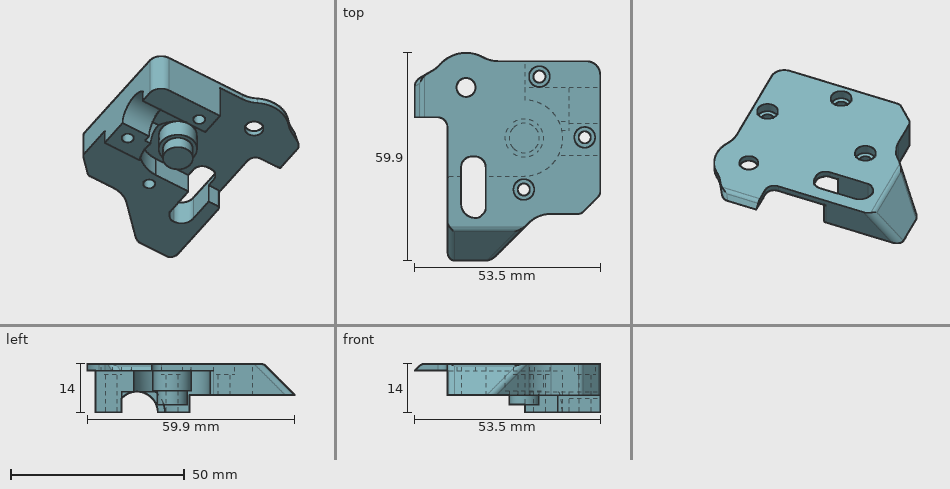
import cadquery as cq
import math

length_x = 53.45
length_y = 59.85
height = 14.0
plate_thickness = 2.0
plate_bottom = height - plate_thickness
body_bottom = 5.0

edge_radius = 2.0
blend_radius = 9.0
overcut = 6.0

lobe_radius = 10.0
lobe_x, lobe_y = 14.8, length_y - lobe_radius
lobe_hole_diameter = 5.4

left_side = 9.4
arm_bottom = 41.2
arm_corner_radius = 2.8
arm_wall_offset = 9.05
arm_wall_angle = 30.0
back_side = 57.45
back_corner_radius = 4.0
front_side = 13.4
front_chamfer = 5.55
toe_right = 22.0

slot_left, slot_right = 13.4, 20.4
slot_front, slot_back = 12.3, 29.9
slot_back_radius = 3.0
slot_front_radius = 4.0
slot_chamfer = 1.85

screw_positions = [(35.9, 52.95), (48.95, 35.5), (31.4, 20.45)]
screw_diameter = 3.4
screw_head_diameter = 6.0
screw_head_depth = 3.0

boss_x, boss_y = 31.5, 35.35
boss_diameter = 11.0
boss_bottom = 6.3
pin_diameter = 8.6
pin_bottom = 2.3
recess_radius = 11.0
recess_right = 31.7
recess_front = boss_y - recess_radius
recess_corner_radius = 0.9

foot_front = 30.3
channel_y = 45.5
channel_radius = 6.0
pocket_radius = 8.0
channel_back = 49.85
pocket_right = 44.3


def box(x_range, y_range, z_range):
    """Box spanning the given ranges."""
    size = [end - start for start, end in (x_range, y_range, z_range)]
    corner = (x_range[0], y_range[0], z_range[0])
    return cq.Workplane("XY").box(*size, centered=False).translate(corner)


def cylinder(x, y, diameter, bottom, top):
    """Upright cylinder between two heights."""
    return cq.Workplane("XY", origin=(x, y, bottom)).circle(diameter / 2).extrude(top - bottom)


def channel_cylinder(radius, x_end):
    """Cylinder along X, centred on the channel axis at the underside."""
    return (
        cq.Workplane("YZ", origin=(recess_right - overcut, channel_y, 0))
        .circle(radius)
        .extrude(x_end - recess_right + overcut)
    )


def lobe_blend(wall_offset, normal_angle, side):
    """Start on the lobe, middle and end on the wall of the concave arc joining lobe and wall.

    The wall lies at wall_offset from the lobe centre, with its normal at normal_angle.
    The side is +1 or -1 for an arc counter-clockwise or clockwise of that normal.
    """
    centre_distance = lobe_radius + blend_radius
    normal = math.radians(normal_angle)
    swing = side * math.acos((wall_offset + blend_radius) / centre_distance)
    centre_x = lobe_x + centre_distance * math.cos(normal + swing)
    centre_y = lobe_y + centre_distance * math.sin(normal + swing)
    return [
        (centre_x - blend_radius * math.cos(angle), centre_y - blend_radius * math.sin(angle))
        for angle in (normal + swing, normal + swing / 2, normal)
    ]


def corner_edge(solid, x, y):
    """Upright edges of the solid that stand at one plan position."""
    reach = 0.05
    selector = cq.selectors.BoxSelector(
        (x - reach, y - reach, -overcut), (x + reach, y + reach, height + overcut)
    )
    return solid.edges("|Z").edges(selector)


def outline_block():
    """Full-height block with the plan outline and its rounded upright edges."""
    arm_start, arm_middle, arm_end = lobe_blend(arm_wall_offset, 90 + arm_wall_angle, 1)
    back_start, back_middle, back_end = lobe_blend(back_side - lobe_y, 90, -1)
    arm_tip_y = arm_end[1] - arm_end[0] * math.tan(math.radians(arm_wall_angle))
    toe_wall_end = (toe_right + front_side, front_side)
    chamfer_start = (length_x - front_chamfer, front_side)
    chamfer_end = (length_x, front_side + front_chamfer)
    block = (
        cq.Workplane("XY")
        .moveTo(left_side, 0)
        .lineTo(toe_right, 0)
        .lineTo(*toe_wall_end)
        .lineTo(*chamfer_start)
        .lineTo(*chamfer_end)
        .lineTo(length_x, back_side)
        .lineTo(*back_end)
        .threePointArc(back_middle, back_start)
        .threePointArc((lobe_x, lobe_y + lobe_radius), arm_start)
        .threePointArc(arm_middle, arm_end)
        .lineTo(0, arm_tip_y)
        .lineTo(0, arm_bottom)
        .lineTo(left_side, arm_bottom)
        .close()
        .extrude(height)
    )
    rounded_corners = [
        (toe_wall_end, blend_radius),
        (chamfer_start, edge_radius),
        (chamfer_end, edge_radius),
        ((length_x, back_side), back_corner_radius),
        ((left_side, arm_bottom), arm_corner_radius),
    ]
    for corner, radius in rounded_corners:
        block = corner_edge(block, *corner).fillet(radius)
    return block


def recess():
    """Space under the plate: everything left of the foot plus a round bay about the boss."""
    open_side = box(
        (-overcut, recess_right), (recess_front, length_y + overcut), (-overcut, plate_bottom)
    )
    bay = cylinder(boss_x, boss_y, 2 * recess_radius, -overcut, plate_bottom)
    return open_side.union(bay)


def foot_clearance():
    """Space below the body in front of the foot."""
    return box((-overcut, length_x + overcut), (-overcut, foot_front), (-overcut, body_bottom))


def slope_wedge(plane, bottom, length):
    """Wedge that leaves a 45 degree slope rising from the plane's origin at height bottom."""
    rise = height - bottom + overcut
    return (
        cq.Workplane(plane, origin=(0, 0, bottom))
        .polyline([(-overcut, -overcut), (rise, rise), (-overcut, rise)])
        .close()
        .extrude(length)
    )


def slot():
    """Through slot with one corner cut at 45 degrees."""
    chamfer_start = (slot_right - slot_chamfer, slot_front)
    chamfer_end = (slot_right, slot_front + slot_chamfer)
    cutter = (
        cq.Workplane("XY")
        .moveTo(slot_left, slot_front)
        .lineTo(*chamfer_start)
        .lineTo(*chamfer_end)
        .lineTo(slot_right, slot_back)
        .lineTo(slot_left, slot_back)
        .close()
        .extrude(height)
    )
    rounded_corners = [
        ((slot_left, slot_front), slot_front_radius),
        (chamfer_start, edge_radius),
        (chamfer_end, edge_radius),
        ((slot_right, slot_back), slot_back_radius),
        ((slot_left, slot_back), slot_back_radius),
    ]
    for corner, radius in rounded_corners:
        cutter = corner_edge(cutter, *corner).fillet(radius)
    return cutter


def foot_channel():
    """Round channel through the foot and a wider entry pocket, both with a flat back and top."""
    channel = channel_cylinder(channel_radius, length_x + overcut)
    pocket = channel_cylinder(pocket_radius, pocket_right)
    limits = box(
        (recess_right - overcut, length_x + overcut), (0, channel_back), (-overcut, channel_radius)
    )
    return channel.union(pocket).intersect(limits)


part = outline_block().cut(recess()).cut(foot_clearance())
part = corner_edge(part, left_side, recess_front).fillet(recess_corner_radius)

part = part.cut(slope_wedge("YZ", body_bottom, length_x))
part = part.faces(">(0,-1,1)").edges("not(<Z)").fillet(edge_radius)
part = part.cut(slope_wedge("XZ", plate_bottom, -length_y))
part = part.faces(">(-1,0,1)").edges(">Z or >Y").fillet(edge_radius)

part = part.cut(foot_channel())
part = part.cut(slot())
part = part.union(cylinder(boss_x, boss_y, boss_diameter, boss_bottom, plate_bottom))
part = part.union(cylinder(boss_x, boss_y, pin_diameter, pin_bottom, boss_bottom))

part = part.cut(cylinder(lobe_x, lobe_y, lobe_hole_diameter, 0, height))
for screw_x, screw_y in screw_positions:
    part = part.cut(cylinder(screw_x, screw_y, screw_diameter, 0, height))
    part = part.cut(
        cylinder(screw_x, screw_y, screw_head_diameter, height - screw_head_depth, height)
    )

result = part